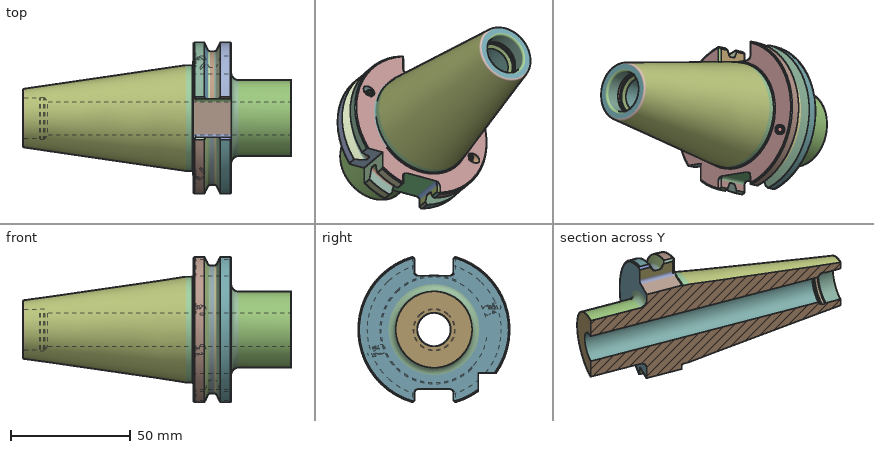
import cadquery as cq
import math


gauge_diameter = 44.45
taper_ratio = 7 / 24
shank_length = 68.25
shank_edge_radius = 0.8

flange_diameter = 63.55
flange_start = 3.2
flange_end = 19.05
flange_chamfer = 0.5
flange_root_radius = 0.5
groove_center = 11.1
groove_mouth_width = 6.8
groove_floor_diameter = 56.1
groove_floor_width = 3.1
groove_root_radius = 1.0

total_length = 112.35
nose_diameter = 32.0
nose_root_radius = 3.0

bore_diameter = 17.0
bore_depth = 9.2
bore_edge_radius = 0.9
through_diameter = 13.9
bore_step_length = 1.0
relief_start_depth = 6.9
relief_width = 1.9
relief_depth = 0.3

slot_width = 16.1
slot_upper_floor = 22.6
slot_lower_floor = 25.0
slot_corner_radius = 1.4
slot_flare_width = 0.96
slot_flare_depth = slot_flare_width
notch_y = 18.6
notch_z = -18.2

screw_diameter = 4.0
screw_length = 4.0
screw_recess = 1.1
screw_edge_chamfer = 0.4
socket_across_flats = 2.0
socket_depth = 1.5
screw_circle_radius = 26.9
screw_position_angle = 20
screw_tilt = 42

shank_end = -shank_length
nose_end = shank_end + total_length
flange_radius = flange_diameter / 2
gauge_radius = gauge_diameter / 2
nose_radius = nose_diameter / 2
shank_end_radius = gauge_radius - shank_length * taper_ratio / 2
slot_half_width = slot_width / 2
slot_mouth_half_width = slot_half_width + slot_flare_width
slot_mouth_height = math.sqrt(flange_radius**2 - slot_mouth_half_width**2)


def revolve_about_x(points):
    return (
        cq.Workplane("XY")
        .polyline(points)
        .close()
        .revolve(360, (0, 0, 0), (1, 0, 0))
    )


def ring_edges(body, x, radius):
    """Circular edges centred on the X axis at one place and radius."""
    tolerance = 0.01

    def is_match(edge):
        point = edge.positionAt(0)
        return (
            edge.geomType() == "CIRCLE"
            and abs(edge.Center().x - x) < tolerance
            and abs(math.hypot(point.y, point.z) - radius) < tolerance
        )

    return body.newObject([edge for edge in body.edges().vals() if is_match(edge)])


def make_turned_blank():
    floor_radius = groove_floor_diameter / 2
    mouth_half = groove_mouth_width / 2
    floor_half = groove_floor_width / 2
    blank = revolve_about_x(
        [
            (shank_end, 0),
            (shank_end, shank_end_radius),
            (0, gauge_radius),
            (flange_start, gauge_radius),
            (flange_start, flange_radius),
            (groove_center - mouth_half, flange_radius),
            (groove_center - floor_half, floor_radius),
            (groove_center + floor_half, floor_radius),
            (groove_center + mouth_half, flange_radius),
            (flange_end, flange_radius),
            (flange_end, nose_radius),
            (nose_end, nose_radius),
            (nose_end, 0),
        ]
    )
    for side in (-1, 1):
        root_x = groove_center + side * floor_half
        blank = ring_edges(blank, root_x, floor_radius).fillet(groove_root_radius)
    for face_x in (flange_start, flange_end):
        blank = ring_edges(blank, face_x, flange_radius).chamfer(flange_chamfer)
    blank = ring_edges(blank, flange_start, gauge_radius).fillet(flange_root_radius)
    blank = ring_edges(blank, flange_end, nose_radius).fillet(nose_root_radius)
    return ring_edges(blank, shank_end, shank_end_radius).fillet(shank_edge_radius)


def cut_bore(body):
    relief_start = shank_end + relief_start_depth
    relief_end = relief_start + relief_width
    relief_radius = bore_diameter / 2 + relief_depth
    step_start = shank_end + bore_depth
    step_end = step_start + bore_step_length
    bore = revolve_about_x(
        [
            (shank_end, 0),
            (shank_end, bore_diameter / 2),
            (relief_start, bore_diameter / 2),
            (relief_start + relief_depth, relief_radius),
            (relief_end - relief_depth, relief_radius),
            (relief_end, bore_diameter / 2),
            (step_start, bore_diameter / 2),
            (step_end, through_diameter / 2),
            (nose_end, through_diameter / 2),
            (nose_end, 0),
        ]
    )
    bored = body.cut(bore)
    return ring_edges(bored, shank_end, bore_diameter / 2).fillet(bore_edge_radius)


def slot_section(x, half_width, corner_radius, floor):
    """Slot section open beyond the rim, with rounded floor corners."""
    rim_clearance = 1.0
    top = flange_radius + rim_clearance
    diagonal = corner_radius * (1 - math.sqrt(0.5))
    return (
        cq.Workplane("YZ", origin=(x, 0, 0))
        .moveTo(-half_width, top)
        .lineTo(-half_width, floor + corner_radius)
        .threePointArc(
            (-half_width + diagonal, floor + diagonal),
            (-half_width + corner_radius, floor),
        )
        .lineTo(half_width - corner_radius, floor)
        .threePointArc(
            (half_width - diagonal, floor + diagonal),
            (half_width, floor + corner_radius),
        )
        .lineTo(half_width, top)
        .close()
    )


def make_slot_cutter(floor):
    """Slot along X, flared at the shank-side face and chamfered at the rim."""
    straight = slot_section(flange_start, slot_half_width, slot_corner_radius, floor)
    channel = straight.extrude(flange_end - flange_start)
    wide = slot_section(
        flange_start, slot_mouth_half_width, slot_corner_radius + slot_flare_width, floor
    ).val()
    narrow = slot_section(
        flange_start + slot_flare_depth, slot_half_width, slot_corner_radius, floor
    ).val()
    flare = cq.Workplane(cq.Solid.makeLoft([wide, narrow], True))
    rim = (
        cq.Workplane("YZ", origin=(flange_start, 0, 0))
        .moveTo(-slot_half_width, slot_mouth_height - slot_flare_width)
        .lineTo(-slot_mouth_half_width, slot_mouth_height)
        .lineTo(-slot_mouth_half_width, flange_radius)
        .lineTo(slot_mouth_half_width, flange_radius)
        .lineTo(slot_mouth_half_width, slot_mouth_height)
        .lineTo(slot_half_width, slot_mouth_height - slot_flare_width)
        .close()
        .extrude(flange_end - flange_start)
    )
    return channel.union(flare).union(rim)


def cut_slots_and_notch(body):
    upper = make_slot_cutter(slot_upper_floor)
    lower = make_slot_cutter(slot_lower_floor).rotate((0, 0, 0), (1, 0, 0), 180)
    notch = cq.Workplane("XY").box(
        flange_end - flange_start, flange_radius, flange_radius, centered=False
    ).translate((flange_start, notch_y, notch_z - flange_radius))
    return body.cut(upper).cut(lower).cut(notch)


def screw_plane(position_angle):
    """Plane across a screw axis where it crosses the flange face, facing outward."""
    angle = math.radians(position_angle)
    tilt = math.radians(screw_tilt)
    radial_y = math.cos(angle)
    radial_z = math.sin(angle)
    origin = (flange_start, screw_circle_radius * radial_y, screw_circle_radius * radial_z)
    outward = (-math.cos(tilt), math.sin(tilt) * radial_y, math.sin(tilt) * radial_z)
    tangent = (0, -radial_z, radial_y)
    return cq.Plane(origin, tangent, outward)


def make_screw_hole(position_angle):
    mouth_clearance = screw_diameter
    bottom = -(screw_recess + screw_length)
    return (
        cq.Workplane(screw_plane(position_angle))
        .workplane(offset=bottom)
        .circle(screw_diameter / 2)
        .extrude(mouth_clearance - bottom)
    )


def make_set_screw(position_angle):
    socket_corner_diameter = socket_across_flats / math.cos(math.pi / 6)
    return (
        cq.Workplane(screw_plane(position_angle))
        .workplane(offset=-screw_recess)
        .circle(screw_diameter / 2)
        .extrude(-screw_length)
        .faces("<X")
        .chamfer(screw_edge_chamfer)
        .faces("<X")
        .workplane(centerOption="CenterOfMass")
        .polygon(6, socket_corner_diameter)
        .cutBlind(-socket_depth)
    )


screw_angles = [screw_position_angle, screw_position_angle + 180]

holder = cut_slots_and_notch(cut_bore(make_turned_blank()))
for screw_angle in screw_angles:
    holder = holder.cut(make_screw_hole(screw_angle))

set_screws = [make_set_screw(screw_angle) for screw_angle in screw_angles]

result = cq.Compound.makeCompound([holder.val(), *[screw.val() for screw in set_screws]])